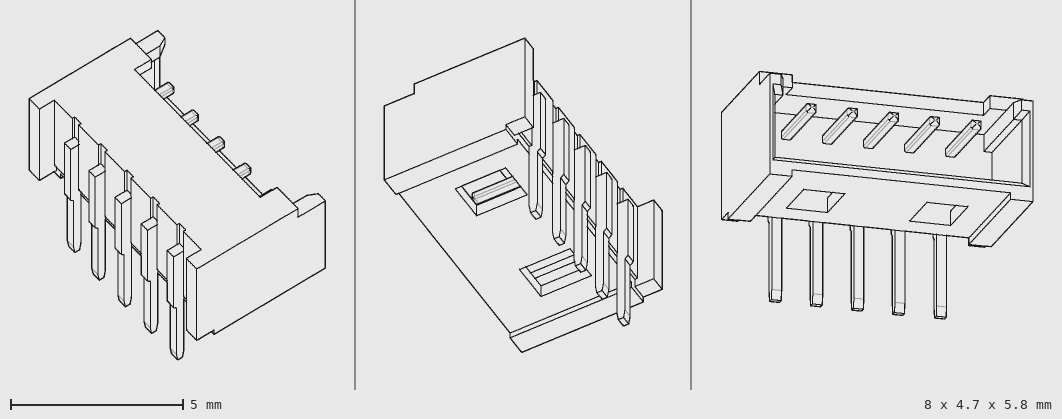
import cadquery as cq


length = 8.0
depth = 4.7
height = 3.5
side_wall = 0.5
foot_height = 0.2
foot_width = 0.68
rear_wall_y = 0.54
rear_ledge_y = 0.63
rear_ledge_top = 0.5

cavity_back_y = 1.5
roof_thickness = 0.4
floor_thickness = 0.45
mouth_chamfer_length = 0.3
mouth_chamfer_width = 0.15
mouth_chamfer_height = 0.2
key_depth = 0.25
key_top_drop = 0.92

mouth_step_length = 1.0
notch_width = 6.0
notch_y = 3.09

window_end_y = 3.19

pin_count = 5
pin_pitch = 1.25
pin_width = 0.3
pin_drop = 0.92
pin_length = 4.88
leg_thickness = 0.27
leg_rear_y = 0.3
block_rear_y = 0.19
block_length = 2.34
leg_tip_length = 0.3
leg_tip_taper = 0.05
arm_tip_y = 4.03
tip_radius = 0.13
arm_edge_radius = 0.06

first_pin_shift = rear_ledge_y - leg_rear_y - leg_thickness

inner_length = length - 2 * side_wall
underside = foot_height
floor_z = underside + floor_thickness
roof_z = height - roof_thickness
key_top = height - key_top_drop
pin_top = height - pin_drop
pin_bottom = pin_top - pin_length
step_y = depth - mouth_step_length
pin_positions = [(i - (pin_count - 1) / 2) * pin_pitch for i in range(pin_count)]


def block(x0, x1, y0, y1, z0, z1):
    """Axis-aligned box between two opposite corners."""
    return cq.Workplane("XY").box(x1 - x0, y1 - y0, z1 - z0, centered=False).translate((x0, y0, z0))


def centred_block(width, y0, y1, z0, z1):
    return block(-width / 2, width / 2, y0, y1, z0, z1)


def flared_pocket(width, z0, z1):
    """Pocket open at the mouth, with its edges chamfered outwards there."""
    pocket = centred_block(width, cavity_back_y, depth, z0, z1)
    mid_z = (z0 + z1) / 2
    flare = (
        cq.Workplane("XZ", origin=(0, depth, mid_z))
        .rect(width + 2 * mouth_chamfer_width, z1 - z0 + 2 * mouth_chamfer_height)
        .workplane(offset=mouth_chamfer_length)
        .rect(width, z1 - z0)
        .loft(combine=True)
    )
    return pocket.union(flare)


def make_housing():
    body = centred_block(length, 0, depth, underside, height)

    for side in (-1, 1):
        foot_x = side * (length - foot_width) / 2
        foot = centred_block(foot_width, rear_ledge_y, depth, 0, underside)
        body = body.union(foot.translate((foot_x, 0, 0)))

    body = body.cut(centred_block(inner_length, 0, rear_wall_y, underside, height))
    body = body.cut(centred_block(inner_length, 0, rear_ledge_y, underside, rear_ledge_top))

    body = body.cut(flared_pocket(inner_length, floor_z, roof_z))
    body = body.cut(flared_pocket(inner_length + 2 * key_depth, floor_z, key_top))

    body = body.cut(centred_block(length, step_y, depth, roof_z, height))
    body = body.cut(centred_block(inner_length, step_y, depth, key_top, height))
    body = body.cut(centred_block(notch_width, notch_y, depth, key_top, height))

    for x in pin_positions:
        groove = centred_block(pin_width, 0, rear_ledge_y, pin_top, height)
        body = body.cut(groove.translate((x, 0, 0)))

    for first, second in ((0, 1), (pin_count - 2, pin_count - 1)):
        window = block(
            pin_positions[first], pin_positions[second], cavity_back_y, window_end_y, underside, floor_z
        )
        body = body.cut(window)
    return body


def make_leg():
    """Vertical leg with a thicker upper block and a tapered tip."""
    leg_front_y = leg_rear_y + leg_thickness
    block_bottom = pin_top - block_length
    shoulder = leg_rear_y - block_rear_y
    profile = [
        (block_rear_y, pin_top),
        (leg_front_y, pin_top),
        (leg_front_y, pin_bottom + leg_tip_length),
        (leg_front_y - leg_tip_taper, pin_bottom),
        (leg_rear_y + leg_tip_taper, pin_bottom),
        (leg_rear_y, pin_bottom + leg_tip_length),
        (leg_rear_y, block_bottom - shoulder),
        (block_rear_y, block_bottom),
    ]
    return cq.Workplane("YZ").polyline(profile).close().extrude(pin_width / 2, both=True)


def make_arm():
    """Horizontal contact arm with rounded edges and a domed tip."""
    y0 = leg_rear_y
    z0 = pin_top - leg_thickness
    arm = centred_block(pin_width, y0, arm_tip_y, z0, pin_top).edges("|Y").fillet(arm_edge_radius)
    round_in_plan = centred_block(pin_width, y0, arm_tip_y, z0, pin_top).edges("|Z and >Y").fillet(tip_radius)
    round_in_side = centred_block(pin_width, y0, arm_tip_y, z0, pin_top).edges("|X and >Y").fillet(tip_radius)
    return arm.intersect(round_in_plan).intersect(round_in_side)


result = make_housing()
pin = make_leg().union(make_arm())
for index, x in enumerate(pin_positions):
    shift = first_pin_shift if index == 0 else 0
    result = result.union(pin.translate((x, shift, 0)))